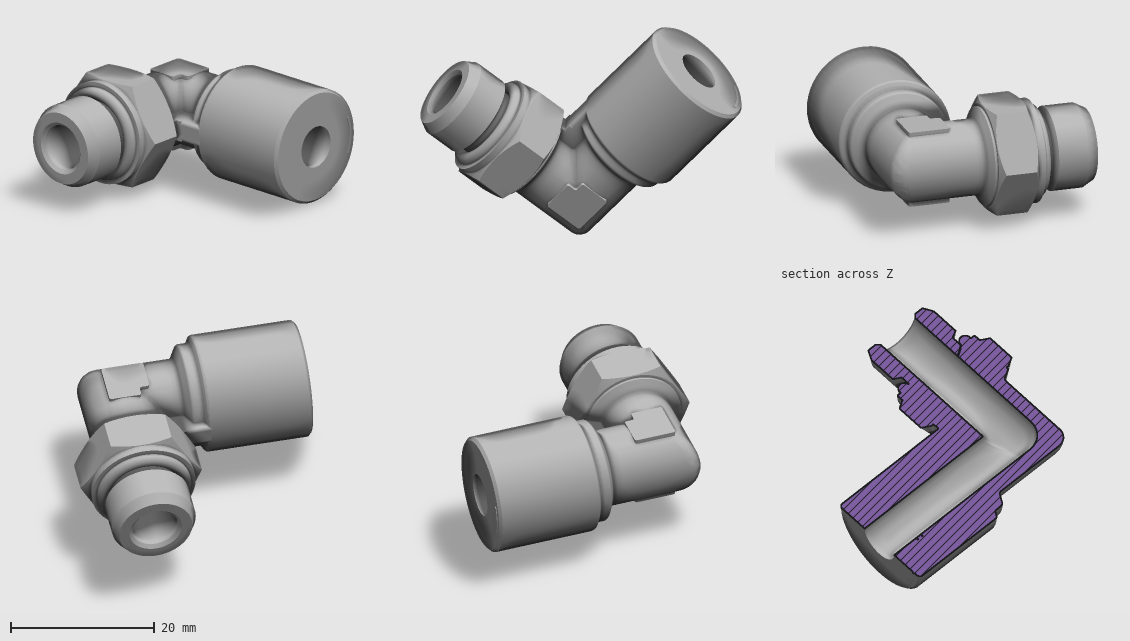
import cadquery as cq
import math


overall_length = 34.65
overall_depth = 32.75
hex_across_flats = 15.0
hex_corner_radius = hex_across_flats / math.sqrt(3)

pipe_radius = 10.78 / 2
blend_radius = 0.5
ramp_angle = math.radians(60)
corner_round = 1.95

mark_inner_radius = 6.85
mark_outer_radius = 7.25
mark_half_width = 2.67
mark_height = 0.1

run_ramp_start = 7.97
run_collar_radius = 14.5 / 2
run_step_start = 10.5
run_body_radius = 8.25
run_length = overall_length - hex_corner_radius - mark_height
run_end_chamfer = 0.4
run_bore_radius = 6.0 / 2

stud_ramp_start = 7.95
flange_radius = 14.0 / 2
hex_start = 9.22
hex_end = 15.15
hex_chamfer_angle = math.radians(30)
washer_radius = 14.8 / 2
washer_end = 16.22
seal_section_radius = 0.9
seal_centre = 16.43
neck_radius = 9.8 / 2
neck_end = 18.0
thread_radius = 12.0 / 2
thread_start = 18.55
thread_taper_start = 23.0
stud_tip_radius = 5.2
stud_length = overall_depth - run_body_radius
stud_bore_radius = 6.5 / 2
stud_mouth_chamfer = 0.5

pad_size = 6.0
pad_left = -2.25
pad_top = 2.3
pad_notch = 1.45
pad_corner_radius = 0.35
pad_height = 5.5

web_half_thickness = 1.5
web_edge = 6.93
web_fillet = 0.25
web_round_start = 7.87
web_end = 11.35

selection_margin = 0.35
flat_tolerance = 0.005


def axis_plane(direction):
    """XY plane whose local x runs along a leg, starting at the elbow centre."""
    return cq.Plane(origin=(0, 0, 0), xDir=direction, normal=(0, 0, 1))


run_plane = axis_plane((1, 0, 0))
stud_plane = axis_plane((0, -1, 0))


def revolve_about_leg(profile):
    return profile.close().revolve(360, (0, 0, 0), (1, 0, 0))


def ramp(profile, start, low, high, round_top=True):
    """Extend a profile up a 60 degree cone, with a blend at its foot and optionally its top."""
    setback = blend_radius * math.tan(ramp_angle / 2)
    cos_ramp, sin_ramp = math.cos(ramp_angle), math.sin(ramp_angle)
    cos_half, sin_half = math.cos(ramp_angle / 2), math.sin(ramp_angle / 2)
    top = start + (high - low) / math.tan(ramp_angle)
    foot_start = start - setback
    profile = profile.lineTo(foot_start, low).threePointArc(
        (foot_start + blend_radius * sin_half, low + blend_radius * (1 - cos_half)),
        (start + setback * cos_ramp, low + setback * sin_ramp),
    )
    if not round_top:
        return profile.lineTo(top, high)
    crest_end = top + setback
    return profile.lineTo(top - setback * cos_ramp, high - setback * sin_ramp).threePointArc(
        (crest_end - blend_radius * sin_half, high - blend_radius * (1 - cos_half)),
        (crest_end, high),
    )


def make_run_leg():
    profile = cq.Workplane(run_plane).lineTo(0, pipe_radius)
    profile = ramp(profile, run_ramp_start, pipe_radius, run_collar_radius)
    profile = ramp(profile, run_step_start, run_collar_radius, run_body_radius)
    profile = (
        profile.lineTo(run_length - run_end_chamfer, run_body_radius)
        .lineTo(run_length, run_body_radius - run_end_chamfer)
        .lineTo(run_length, 0)
    )
    return revolve_about_leg(profile)


def make_stud_upper():
    """Pipe and flange above the nut."""
    profile = cq.Workplane(stud_plane).lineTo(0, pipe_radius)
    profile = ramp(profile, stud_ramp_start, pipe_radius, flange_radius, round_top=False)
    profile = profile.lineTo(hex_start, flange_radius).lineTo(hex_start, 0)
    return revolve_about_leg(profile)


def make_stud_lower():
    """Washer, neck and thread below the nut."""
    profile = (
        cq.Workplane(stud_plane)
        .moveTo(hex_start, 0)
        .lineTo(hex_start, neck_radius)
        .lineTo(hex_end, neck_radius)
        .lineTo(hex_end, washer_radius)
        .lineTo(washer_end, washer_radius)
        .lineTo(washer_end, neck_radius)
        .lineTo(neck_end, neck_radius)
        .lineTo(thread_start, thread_radius)
        .lineTo(thread_taper_start, thread_radius)
        .lineTo(stud_length, stud_tip_radius)
        .lineTo(stud_length, 0)
    )
    return revolve_about_leg(profile)


def make_seal():
    """O-ring seated on the neck against the washer."""
    ring_radius = neck_radius + seal_section_radius
    return (
        cq.Workplane(axis_plane((0, 1, 0)))
        .moveTo(-seal_centre, ring_radius)
        .circle(seal_section_radius)
        .revolve(360, (0, 0, 0), (1, 0, 0))
    )


def make_hex_nut():
    chamfer_length = (hex_corner_radius - washer_radius) * math.tan(hex_chamfer_angle)
    prism = (
        cq.Workplane("XZ", origin=(0, -hex_start, 0))
        .polygon(6, 2 * hex_corner_radius)
        .extrude(hex_end - hex_start)
    )
    envelope = revolve_about_leg(
        cq.Workplane(stud_plane)
        .moveTo(hex_start, 0)
        .lineTo(hex_start, washer_radius)
        .lineTo(hex_start + chamfer_length, hex_corner_radius)
        .lineTo(hex_end - chamfer_length, hex_corner_radius)
        .lineTo(hex_end, washer_radius)
        .lineTo(hex_end, 0)
    )
    return prism.intersect(envelope)


def make_elbow_corner():
    """Mitred outer corner: the volume shared by the two pipes."""
    run_pipe = cq.Workplane("YZ").circle(pipe_radius).extrude(pipe_radius, both=True)
    stud_pipe = cq.Workplane("XZ").circle(pipe_radius).extrude(pipe_radius, both=True)
    return run_pipe.intersect(stud_pipe)


def make_pads():
    """Notched pads on the +Z and -Z sides, as one block through the elbow."""
    pad_right = pad_left + pad_size
    pad_bottom = pad_top - pad_size
    return (
        cq.Workplane("XY")
        .moveTo(pad_left, pad_top)
        .lineTo(pad_right, pad_top)
        .lineTo(pad_right, pad_bottom + pad_notch)
        .lineTo(pad_right - pad_notch, pad_bottom + pad_notch)
        .lineTo(pad_right - pad_notch, pad_bottom)
        .lineTo(pad_left, pad_bottom)
        .close()
        .extrude(pad_height, both=True)
        .edges("|Z")
        .fillet(pad_corner_radius)
    )


def make_web():
    """Web between the legs; its -Y edge is square near the stud and rounded along the run."""

    def block(length, depth):
        return (
            cq.Workplane("XY")
            .rect(length, -depth, centered=False)
            .extrude(web_half_thickness, both=True)
        )

    edge_part = block(web_edge, hex_start)
    square_part = block(web_round_start, run_body_radius)
    rounded_part = block(web_end, run_body_radius).edges("|X and <Y").fillet(blend_radius)
    return edge_part.union(square_part).union(rounded_part)


def cut_bores(body):
    """Stud bore with a spherical end, met by a smaller bore along the run."""
    mouth_radius = stud_bore_radius + stud_mouth_chamfer
    sphere_centre = stud_bore_radius - run_bore_radius
    stud_bore = revolve_about_leg(
        cq.Workplane(stud_plane)
        .moveTo(sphere_centre - stud_bore_radius, 0)
        .threePointArc(
            (
                sphere_centre - stud_bore_radius * math.sqrt(0.5),
                stud_bore_radius * math.sqrt(0.5),
            ),
            (sphere_centre, stud_bore_radius),
        )
        .lineTo(stud_length - stud_mouth_chamfer, stud_bore_radius)
        .lineTo(stud_length, mouth_radius)
        .lineTo(stud_length, 0)
    )
    run_bore = cq.Workplane("YZ").circle(run_bore_radius).extrude(run_length)
    return body.cut(stud_bore).cut(run_bore)


def make_end_mark():
    """Thin raised arc on the run end face, on the +Y side."""

    def arc_end(radius, side):
        return (math.sqrt(radius**2 - mark_half_width**2), side * mark_half_width)

    return (
        cq.Workplane("YZ", origin=(run_length, 0, 0))
        .moveTo(*arc_end(mark_inner_radius, -1))
        .threePointArc((mark_inner_radius, 0), arc_end(mark_inner_radius, 1))
        .lineTo(*arc_end(mark_outer_radius, 1))
        .threePointArc((mark_outer_radius, 0), arc_end(mark_outer_radius, -1))
        .close()
        .extrude(mark_height)
    )


def mitre_edges(side):
    """Edges where the two pipes meet, on the outer (-1) or inner (+1) corner."""
    near = side * pipe_radius / 2
    far = side * (pipe_radius + selection_margin)
    return cq.selectors.BoxSelector((near, -near, -pipe_radius), (far, -far, pipe_radius))


def web_root_edges(side):
    """Edges where one flat of the web (side is its Z sign) meets the pipes, ramps and collar."""
    low = side * (web_half_thickness - flat_tolerance)
    high = side * (web_half_thickness + flat_tolerance)
    inner_corner = (pipe_radius - selection_margin, -pipe_radius + selection_margin, low)
    run_side = cq.selectors.BoxSelector(
        inner_corner, (web_end - selection_margin, -run_collar_radius - selection_margin, high)
    )
    stud_side = cq.selectors.BoxSelector(
        inner_corner, (web_edge - selection_margin, -hex_start + selection_margin, high)
    )
    return run_side + stud_side


elbow = make_run_leg().union(make_stud_upper()).union(make_elbow_corner()).union(make_pads())
elbow = elbow.edges(mitre_edges(-1)).fillet(corner_round)
elbow = elbow.edges(mitre_edges(1)).fillet(blend_radius)

elbow = elbow.union(make_web())
for web_side in (-1, 1):
    elbow = elbow.edges(web_root_edges(web_side)).fillet(web_fillet)

body = elbow.union(make_hex_nut()).union(make_stud_lower()).union(make_seal()).union(make_end_mark())
result = cut_bores(body)